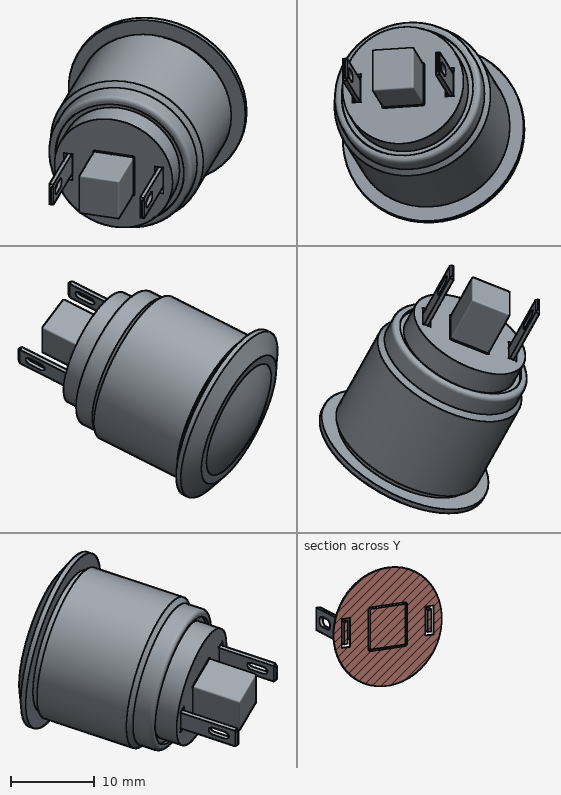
import cadquery as cq


flange_diameter = 22.0
flange_rim_height = 0.65
bezel_top_diameter = 17.0
bezel_top_y = 2.0
cap_diameter = 14.7
dome_height = 1.55

neck_diameter = 17.8
neck_length = 0.8
barrel_diameter = 19.0
barrel_end_y = -12.45
barrel_chamfer_length = 0.6
sleeve_end_y = -15.55
sleeve_fillet = 0.5

base_diameter = 14.7
base_end_y = -18.05
base_groove_diameter = 16.0
base_groove_depth = 0.4

block_width = 5.0
block_height = 5.2
block_end_y = -24.12
block_fillet = 0.2
block_socket_gap = 0.1
block_socket_depth = 0.1
block_socket_corner = block_fillet + block_socket_gap

blade_offset = 5.65
blade_thickness = 0.5
blade_height = 2.8
blade_end_y = -25.34
blade_tip_length = 0.3
blade_tip_inset_x = 0.15
blade_tip_inset_z = 0.3
eyelet_length = 2.65
eyelet_width = 1.2
eyelet_tip_distance = 1.1
socket_width = 1.05
socket_height = 3.55
socket_depth = 1.0


def box_between(width, height, y_start, y_end, x_center=0.0):
    """Box centred on Z = 0 that runs along Y from y_start to y_end."""
    length = abs(y_end - y_start)
    y_center = (y_start + y_end) / 2
    return cq.Workplane("XY").box(width, length, height).translate((x_center, y_center, 0))


def make_body():
    """Bezel, cap, barrel and terminal base, revolved about Y."""
    cap_radius = cap_diameter / 2
    flange_radius = flange_diameter / 2
    neck_radius = neck_diameter / 2
    barrel_radius = barrel_diameter / 2
    base_radius = base_diameter / 2
    groove_radius = base_groove_diameter / 2
    groove_floor_y = sleeve_end_y + base_groove_depth
    dome_radius = (cap_radius**2 + dome_height**2) / (2 * dome_height)
    dome_center_y = bezel_top_y + dome_height - dome_radius
    dome_mid_x = cap_radius / 2
    dome_mid_y = dome_center_y + (dome_radius**2 - dome_mid_x**2) ** 0.5

    profile = (
        cq.Workplane("XY")
        .moveTo(0, base_end_y)
        .lineTo(base_radius, base_end_y)
        .lineTo(base_radius, groove_floor_y)
        .lineTo(groove_radius, groove_floor_y)
        .lineTo(groove_radius, sleeve_end_y)
        .lineTo(neck_radius - sleeve_fillet, sleeve_end_y)
        .radiusArc((neck_radius, sleeve_end_y + sleeve_fillet), -sleeve_fillet)
        .lineTo(neck_radius, barrel_end_y - barrel_chamfer_length)
        .lineTo(barrel_radius, barrel_end_y)
        .lineTo(barrel_radius, -neck_length)
        .lineTo(neck_radius, -neck_length)
        .lineTo(neck_radius, 0)
        .lineTo(flange_radius, 0)
        .lineTo(flange_radius, flange_rim_height)
        .lineTo(bezel_top_diameter / 2, bezel_top_y)
        .lineTo(cap_radius, bezel_top_y)
        .threePointArc((dome_mid_x, dome_mid_y), (0, bezel_top_y + dome_height))
        .close()
    )
    return profile.revolve(360, (0, 0, 0), (0, 1, 0))


def cut_block_socket(body):
    """Shallow clearance pocket around the central block."""
    pocket_floor_y = base_end_y + block_socket_depth
    pocket = box_between(
        block_width + 2 * block_socket_gap,
        block_height + 2 * block_socket_gap,
        base_end_y,
        pocket_floor_y,
    ).edges("|Y").fillet(block_socket_corner)
    return body.cut(pocket)


def make_block():
    """Central block with every edge rounded, standing on its pocket floor."""
    root_y = base_end_y + block_socket_depth
    block = box_between(block_width, block_height, root_y, block_end_y)
    return block.edges().fillet(block_fillet)


def make_blade(x_center):
    """Flat terminal with a bevelled tip and a slotted eyelet."""
    root_y = base_end_y + socket_depth
    shoulder_y = blade_end_y + blade_tip_length
    eyelet_center_y = blade_end_y + eyelet_tip_distance + eyelet_length / 2
    shank = box_between(blade_thickness, blade_height, root_y, shoulder_y, x_center)
    tip = (
        cq.Workplane("XZ", origin=(x_center, shoulder_y, 0))
        .rect(blade_thickness, blade_height)
        .workplane(offset=blade_tip_length)
        .rect(blade_thickness - 2 * blade_tip_inset_x, blade_height - 2 * blade_tip_inset_z)
        .loft(ruled=True)
    )
    eyelet = (
        cq.Workplane("YZ", origin=(x_center, eyelet_center_y, 0))
        .slot2D(eyelet_length, eyelet_width)
        .extrude(blade_thickness, both=True)
    )
    return shank.union(tip).cut(eyelet)


def cut_blade_socket(body, x_center):
    """Rectangular pocket from which a blade terminal emerges."""
    floor_y = base_end_y + socket_depth
    return body.cut(box_between(socket_width, socket_height, base_end_y, floor_y, x_center))


result = cut_block_socket(make_body()).union(make_block())
for blade_x in (-blade_offset, blade_offset):
    result = cut_blade_socket(result, blade_x).union(make_blade(blade_x))